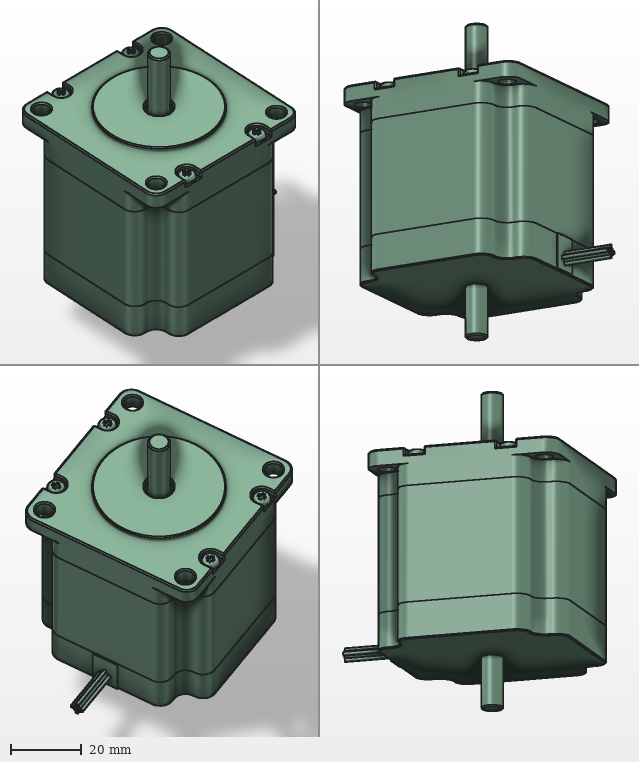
import cadquery as cq
import math

frame_width = 57.0
half_width = frame_width / 2
frame_height = 56.0
rear_cap_height = 10.8
front_cap_height = 11.2
stator_height = frame_height - rear_cap_height - front_cap_height
front_cap_bottom = frame_height - front_cap_height
rear_edge_chamfer = 0.4

corner_radius = 4.05
notch_offset = 23.7
notch_radius = 4.05

flange_thickness = 4.8
flange_bottom = frame_height - flange_thickness
flange_chamfer = 0.5
mount_hole_offset = 23.55
mount_hole_radius = 2.6
mount_hole_chamfer = 0.5

boss_radius = 19.0
boss_height = 1.5
boss_top = frame_height + boss_height
boss_edge_chamfer = 0.4
boss_base_fillet = 0.5
opening_radius = 4.05
opening_chamfer = 0.5
opening_depth = 1.4
shaft_clearance_radius = 3.5

shaft_radius = 3.17
shaft_length = 92.0
shaft_rear_length = 15.1
shaft_chamfer = 0.5

screw_x = 25.8
screw_y = 13.7
recess_radius = 2.85
recess_depth = 2.1
recess_chamfer = 0.5
bevel_angle = 45
recess_floor = frame_height - recess_depth
head_radius = 2.7
head_rim_height = 0.4
head_dome_fillet = 1.2
cross_length = 2.4
cross_width = 0.9
cross_depth = 0.7

grommet_width = 8.2
grommet_thickness = 0.5
grommet_face = half_width + grommet_thickness
lead_end = 44.0
lead_height = 4.1
wire_radius = 0.55
wire_overlap = 0.02
wire_pitch = 2 * wire_radius - wire_overlap


def four_places(x, y):
    """The point (x, y) and its mirror images in both axes."""
    return [(side * x, end * y) for side in (-1, 1) for end in (-1, 1)]


def square_block(bottom, height):
    return cq.Workplane("XY", origin=(0, 0, bottom)).rect(frame_width, frame_width).extrude(height)


def notched_block(bottom, height):
    """Square block with a rounded bolt notch along each vertical edge."""
    notch_wall = notch_offset - notch_radius
    notch_middle = notch_offset - notch_radius * math.sqrt(0.5)
    ear_start = notch_wall - corner_radius
    ear_end = half_width - corner_radius
    arc_reach = corner_radius * math.sqrt(0.5)
    ear_middle_side = ear_start + arc_reach
    ear_middle_out = ear_end + arc_reach

    notch = (
        cq.Workplane("XY", origin=(0, 0, bottom))
        .moveTo(half_width, ear_start)
        .threePointArc((ear_middle_out, ear_middle_side), (ear_end, notch_wall))
        .lineTo(notch_offset, notch_wall)
        .threePointArc((notch_middle, notch_middle), (notch_wall, notch_offset))
        .lineTo(notch_wall, ear_end)
        .threePointArc((ear_middle_side, ear_middle_out), (ear_start, half_width))
        .lineTo(half_width, half_width)
        .close()
        .extrude(height)
    )
    block = square_block(bottom, height)
    for quarter in range(4):
        block = block.cut(notch.rotate((0, 0, 0), (0, 0, 1), 90 * quarter))
    return block


def shaft_bore():
    return cq.Workplane("XY").circle(shaft_radius).extrude(frame_height)


def make_flange():
    return (
        square_block(flange_bottom, flange_thickness)
        .edges("|Z")
        .fillet(corner_radius)
        .faces(">Z")
        .chamfer(flange_chamfer)
    )


def mount_hole(x, y):
    """Cutter for a mounting hole with a bevelled mouth."""
    rim_radius = mount_hole_radius + mount_hole_chamfer
    hole = (
        cq.Workplane("XY", origin=(x, y, flange_bottom))
        .circle(mount_hole_radius)
        .extrude(flange_thickness)
    )
    mouth = cq.Solid.makeCone(
        mount_hole_radius,
        rim_radius,
        mount_hole_chamfer,
        pnt=(x, y, frame_height - mount_hole_chamfer),
    )
    return hole.union(mouth)


def make_boss():
    """Disc with a bevelled top edge and a fillet around its foot."""
    return (
        cq.Workplane("XZ")
        .moveTo(0, frame_height)
        .lineTo(boss_radius + boss_base_fillet, frame_height)
        .radiusArc((boss_radius, frame_height + boss_base_fillet), boss_base_fillet)
        .lineTo(boss_radius, boss_top - boss_edge_chamfer)
        .lineTo(boss_radius - boss_edge_chamfer, boss_top)
        .lineTo(0, boss_top)
        .close()
        .revolve(360, (0, 0, 0), (0, 1, 0))
    )


def shaft_opening():
    """Cutter for the stepped opening around the shaft."""
    step_height = boss_top - opening_depth
    return (
        cq.Workplane("XZ")
        .moveTo(0, front_cap_bottom)
        .lineTo(shaft_clearance_radius, front_cap_bottom)
        .lineTo(shaft_clearance_radius, step_height)
        .lineTo(opening_radius, step_height)
        .lineTo(opening_radius, boss_top - opening_chamfer)
        .lineTo(opening_radius + opening_chamfer, boss_top)
        .lineTo(0, boss_top)
        .close()
        .revolve(360, (0, 0, 0), (0, 1, 0))
    )


def recess_outline(run, bottom):
    """Round-ended outline that reaches the distance run along +X."""
    return (
        cq.Workplane("XY", origin=(0, 0, bottom))
        .moveTo(run, -recess_radius)
        .lineTo(run, recess_radius)
        .lineTo(0, recess_radius)
        .threePointArc((-recess_radius, 0), (0, -recess_radius))
        .close()
    )


def screw_recess(x, y):
    """Cutter for a round-ended recess, open at the nearest side and bevelled along its outer edges."""
    run = half_width - abs(x)
    pocket = recess_outline(run, 0).extrude(recess_depth)
    top_bevel = recess_outline(run, recess_depth - recess_chamfer).extrude(recess_chamfer, taper=-bevel_angle)
    side_bevel = (
        cq.Workplane("YZ", origin=(run - recess_chamfer, 0, recess_depth / 2))
        .rect(2 * recess_radius, recess_depth)
        .extrude(recess_chamfer, taper=-bevel_angle)
    )
    cutter = pocket.union(top_bevel).union(side_bevel)
    if x < 0:
        cutter = cutter.rotate((0, 0, 0), (0, 0, 1), 180)
    return cutter.translate((x, y, recess_floor))


def make_front_cap():
    cap = notched_block(front_cap_bottom, front_cap_height - flange_thickness)
    cap = cap.union(make_flange()).union(make_boss()).cut(shaft_opening())
    for x, y in four_places(mount_hole_offset, mount_hole_offset):
        cap = cap.cut(mount_hole(x, y))
    for x, y in four_places(screw_x, screw_y):
        cap = cap.cut(screw_recess(x, y))
    return cap


def make_stator():
    return notched_block(rear_cap_height, stator_height).cut(shaft_bore())


def make_rear_cap():
    return notched_block(0, rear_cap_height).faces("<Z").chamfer(rear_edge_chamfer).cut(shaft_bore())


def make_shaft():
    return (
        cq.Workplane("XY", origin=(0, 0, -shaft_rear_length))
        .circle(shaft_radius)
        .extrude(shaft_length)
        .faces("<Z or >Z")
        .chamfer(shaft_chamfer)
    )


def make_screw(x, y):
    """Domed screw head with a cross recess, standing on the recess floor."""
    head_height = head_rim_height + head_dome_fillet
    head = (
        cq.Workplane("XY")
        .circle(head_radius)
        .extrude(head_height)
        .faces(">Z")
        .edges()
        .fillet(head_dome_fillet)
    )
    for length, width in ((cross_length, cross_width), (cross_width, cross_length)):
        arm = cq.Workplane("XY", origin=(0, 0, head_height)).rect(length, width).extrude(-cross_depth)
        head = head.cut(arm)
    return head.translate((x, y, recess_floor))


def make_grommet():
    """Thin plate on the flat +Y face of the rear cap."""
    grommet_height = rear_cap_height - rear_edge_chamfer
    return cq.Workplane("XY", origin=(0, half_width, rear_edge_chamfer)).box(
        grommet_width, grommet_thickness, grommet_height, centered=(True, False, False)
    )


def make_lead_bundle():
    """Eight wires: four in a square, and one nested against each side of the square."""
    inner = wire_pitch / 2
    outer = inner + wire_pitch * math.sin(math.radians(60))
    places = four_places(inner, inner) + [(outer, 0), (-outer, 0), (0, outer), (0, -outer)]
    bundle = cq.Workplane("XY")
    for x, z in places:
        wire = (
            cq.Workplane("XZ", origin=(x, grommet_face, lead_height + z))
            .circle(wire_radius)
            .extrude(grommet_face - lead_end)
        )
        bundle = bundle.union(wire)
    return bundle


front_cap = make_front_cap()
stator = make_stator()
rear_cap = make_rear_cap()
shaft = make_shaft()
screws = [make_screw(x, y) for x, y in four_places(screw_x, screw_y)]
grommet = make_grommet()
lead_bundle = make_lead_bundle()

result = cq.Compound.makeCompound(
    [
        front_cap.val(),
        stator.val(),
        rear_cap.val(),
        shaft.val(),
        *[screw.val() for screw in screws],
        grommet.val(),
        *lead_bundle.vals(),
    ]
)